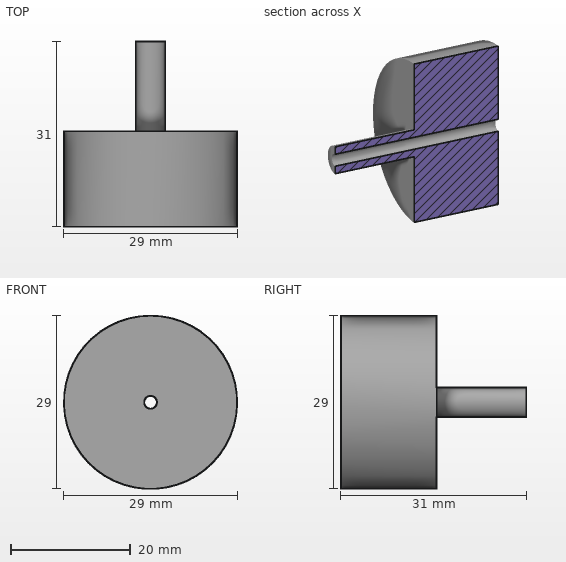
import cadquery as cq

body_diameter = 29.0
body_length = 16.0
shaft_diameter = 5.0
shaft_length = 15.0
bore_diameter = 2.1

overall_length = body_length + shaft_length


def cylinder_along_y(diameter, start_y, length):
    """Solid cylinder centred on the Y axis, running in +Y from start_y."""
    start = cq.Vector(0, start_y, 0)
    direction = cq.Vector(0, 1, 0)
    return cq.Workplane(cq.Solid.makeCylinder(diameter / 2, length, start, direction))


body = cylinder_along_y(body_diameter, 0, body_length)
shaft = cylinder_along_y(shaft_diameter, body_length, shaft_length)

bore = cylinder_along_y(bore_diameter, 0, overall_length)

result = body.union(shaft).cut(bore)